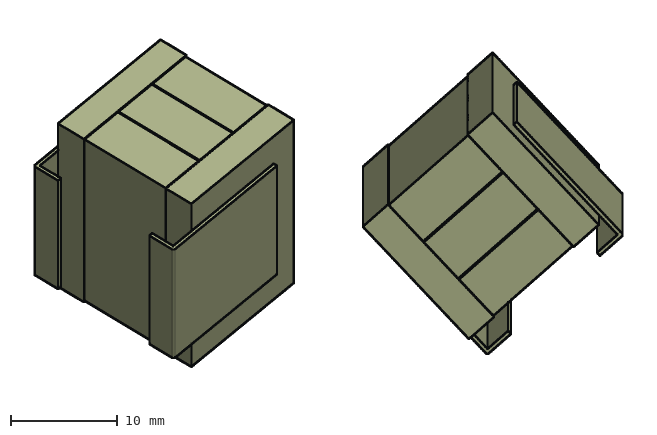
import cadquery as cq

total_x = 17.3
total_y = 17.8
total_z = 21.5

lead_thickness = 0.4
lead_height = 14.32
lead_foot = 3.0
lead_length = 14.88
bend_outer_radius = 0.2

stack_y = 14.8
cap_x = 3.2
chip_inset = 0.1
chip_gap = 0.1
chip_count = 3

stack_x = total_x - 2 * lead_thickness
chip_x = stack_x - 2 * cap_x
chip_y = (stack_y - 2 * chip_inset - (chip_count - 1) * chip_gap) / chip_count
chip_pitch = chip_y + chip_gap
chip_z = total_z - 2 * chip_inset
foot_face_y = -total_y / 2
stack_center_y = total_y / 2 - stack_y / 2
cap_center_x = stack_x / 2 - cap_x / 2


def make_stack():
    """Chips with open slits between them, joined by the two end caps into one solid."""
    stack = cq.Workplane("XY")
    for side in (-1, 1):
        cap = cq.Workplane("XY").box(cap_x, stack_y, total_z)
        stack = stack.add(cap.translate((side * cap_center_x, stack_center_y, 0)))
    for index in range(chip_count):
        chip_center_y = stack_center_y + (index - (chip_count - 1) / 2) * chip_pitch
        chip = cq.Workplane("XY").box(chip_x, chip_y, chip_z)
        stack = stack.add(chip.translate((0, chip_center_y, 0)))
    return stack.combine()


def make_lead(side):
    """L-shaped sheet lead: a plate on the end cap and a foot bent inward under the stack."""
    outer_x = side * total_x / 2
    inner_x = side * stack_x / 2
    foot_tip_x = side * (total_x / 2 - lead_foot)
    plate_end_y = foot_face_y + lead_length
    foot_inner_y = foot_face_y + lead_thickness
    lead = (
        cq.Workplane("XY", origin=(0, 0, -lead_height / 2))
        .moveTo(outer_x, foot_face_y)
        .lineTo(outer_x, plate_end_y)
        .lineTo(inner_x, plate_end_y)
        .lineTo(inner_x, foot_inner_y)
        .lineTo(foot_tip_x, foot_inner_y)
        .lineTo(foot_tip_x, foot_face_y)
        .close()
        .extrude(lead_height)
    )
    outer_bend_edge = cq.selectors.NearestToPointSelector((outer_x, foot_face_y, 0))
    return lead.edges("|Z").edges(outer_bend_edge).fillet(bend_outer_radius)


stack = make_stack()
leads = [make_lead(side) for side in (-1, 1)]

result = cq.Compound.makeCompound([stack.val(), *[lead.val() for lead in leads]])